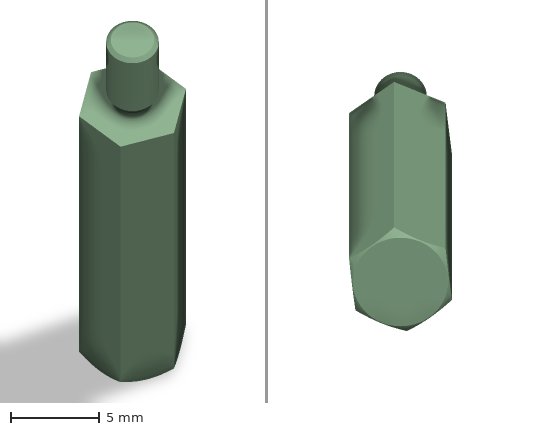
import cadquery as cq
import math

total_length = 29.0
stud_length = 6.0
across_flats = 5.5
stud_diameter = 3.0
neck_diameter = 2.15
tip_diameter = 2.46
tip_chamfer_height = 0.2
taper_start_height = 1.22
taper_angle = 30.0
neck_fillet = 0.17
foot_diameter = 5.4
foot_chamfer_height = 0.44

body_length = total_length - stud_length
across_corners = across_flats / math.cos(math.radians(30))
stud_radius = stud_diameter / 2
neck_radius = neck_diameter / 2
corner_radius = across_corners / 2
taper_height = (stud_radius - neck_radius) / math.tan(math.radians(taper_angle))
taper_end_height = taper_start_height - taper_height


def make_hex_body():
    """Hexagonal spacer with its lower corners turned off by a cone."""
    hexagon = cq.Workplane("XY").polygon(6, across_corners).extrude(body_length)
    turned_envelope = (
        cq.Workplane("XZ")
        .moveTo(0, 0)
        .lineTo(foot_diameter / 2, 0)
        .lineTo(corner_radius, foot_chamfer_height)
        .lineTo(corner_radius, body_length)
        .lineTo(0, body_length)
        .close()
        .revolve(360, (0, 0, 0), (0, 1, 0))
    )
    return hexagon.intersect(turned_envelope)


def make_stud():
    """Stud with a chamfered tip and a filleted neck, standing on Z = 0."""
    angle = math.radians(taper_angle)
    tangent_length = neck_fillet * math.tan(angle / 2)
    fillet_start = (neck_radius, taper_end_height - tangent_length)
    fillet_end = (
        neck_radius + tangent_length * math.sin(angle),
        taper_end_height + tangent_length * math.cos(angle),
    )
    fillet_middle = (
        neck_radius + neck_fillet * (1 - math.cos(angle / 2)),
        fillet_start[1] + neck_fillet * math.sin(angle / 2),
    )
    base_offset = neck_fillet * (1 - math.sqrt(0.5))
    base_middle = (neck_radius + base_offset, base_offset)

    return (
        cq.Workplane("XZ")
        .moveTo(0, 0)
        .lineTo(neck_radius + neck_fillet, 0)
        .threePointArc(base_middle, (neck_radius, neck_fillet))
        .lineTo(*fillet_start)
        .threePointArc(fillet_middle, fillet_end)
        .lineTo(stud_radius, taper_start_height)
        .lineTo(stud_radius, stud_length - tip_chamfer_height)
        .lineTo(tip_diameter / 2, stud_length)
        .lineTo(0, stud_length)
        .close()
        .revolve(360, (0, 0, 0), (0, 1, 0))
    )


stud = make_stud().translate((0, 0, body_length))
spacer = make_hex_body().union(stud)
result = spacer.translate((0, 0, -total_length / 2))